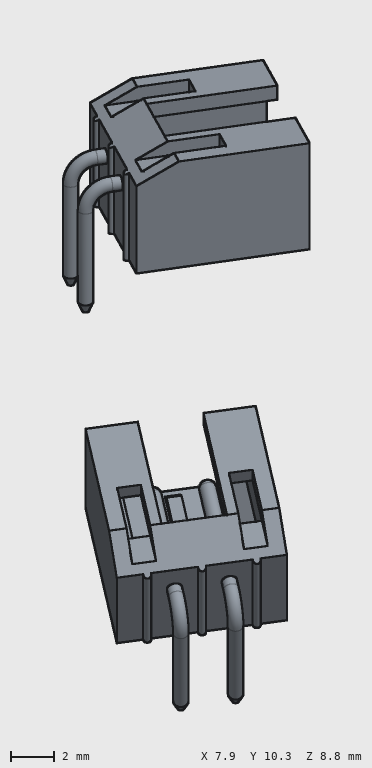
import cadquery as cq

overall_length = 10.25
width = 7.9
height = 5.61
pin_reach = 2.02
depth = overall_length - pin_reach
rear_bevel_length = 2.02
rear_bevel_drop = 0.98

roof = 0.75
side_wall = 0.62
floor_height = 0.62
cavity_start = rear_bevel_length
corner_slope_width = 1.1
corner_slope_height = 0.99
mouth_bevel = 0.16
slot_width = 3.04

window_width = 1.1
window_edge_gap = 0.81
window_end = 4.48

key_width = 0.7
key_height = 0.44
key_mouth_gap = 0.46

pitch = 2.54
rib_radius = 0.18
rib_projection = 0.22

contact_diameter = 0.8
contact_mouth_gap = 2.18
contact_rounding = 0.38
pin_diameter = 0.72
pin_height = 3.31
bend_radius = 1.19
overall_height = 8.8
pin_tip_length = 0.49
pin_tip_diameter = 0.31

ceiling = height - roof
cavity_half_width = width / 2 - side_wall
floor_half_width = cavity_half_width - corner_slope_width
window_x = width / 2 - window_edge_gap - window_width / 2
pin_drop_y = pin_diameter / 2 - pin_reach
bend_start_y = pin_drop_y + bend_radius
pin_bottom = height - overall_height
pin_tip_top = pin_bottom + pin_tip_length


def block(x_size, y_start, y_end, z_start, z_end, x_center=0):
    """Box centered on x_center, set by its Y and Z limits."""
    box = cq.Workplane("XY").box(x_size, y_end - y_start, z_end - z_start, centered=(True, False, False))
    return box.translate((x_center, y_start, z_start))


def side_profile(points, thickness):
    """Prism along X, centered on X = 0, from (Y, Z) points."""
    return cq.Workplane("YZ").polyline(points).close().extrude(thickness / 2, both=True)


def make_shell():
    """Solid housing with its standoff ribs, both cut by the sloping rear bevel."""
    shell = block(width, 0, depth, 0, height)
    rib_y = rib_radius - rib_projection
    for x in (-pitch, 0, pitch):
        rib = cq.Workplane("XY").center(x, rib_y).circle(rib_radius).extrude(height)
        rib_root = block(2 * rib_radius, rib_y, rib_radius, 0, height, x)
        shell = shell.union(rib).union(rib_root)

    bevel_slope = rear_bevel_drop / rear_bevel_length
    bevel = side_profile(
        [
            (rear_bevel_length, height),
            (-rib_projection, height - rear_bevel_drop - bevel_slope * rib_projection),
            (-rib_projection, height),
        ],
        width,
    )
    return shell.cut(bevel)


def make_cavity():
    """Cavity with sloping lower corners."""
    slope_top = floor_height + corner_slope_height
    outline = [
        (-floor_half_width, floor_height),
        (floor_half_width, floor_height),
        (cavity_half_width, slope_top),
        (cavity_half_width, ceiling),
        (-cavity_half_width, ceiling),
        (-cavity_half_width, slope_top),
    ]
    cavity = cq.Workplane("XZ").polyline(outline).close().extrude(cavity_start - depth)
    return cavity.translate((0, cavity_start, 0))


def make_mouth_bevel():
    """Wedge that eases the mouth edge of the cavity floor."""
    return side_profile(
        [
            (depth - mouth_bevel, floor_height),
            (depth, floor_height),
            (depth, floor_height - mouth_bevel),
        ],
        2 * floor_half_width,
    )


def make_key():
    """Rail along the cavity floor with a sloping lead-in."""
    key_end = depth - key_mouth_gap
    return side_profile(
        [
            (cavity_start, floor_height),
            (key_end, floor_height),
            (key_end - key_height, floor_height + key_height),
            (cavity_start, floor_height + key_height),
        ],
        key_width,
    )


def make_pin(x):
    """Round contact in the cavity, joined to a thinner tail bent down to a tapered tip."""
    contact_length = depth - contact_mouth_gap - cavity_start / 2
    contact = cq.Workplane("XZ").circle(contact_diameter / 2).extrude(-contact_length)
    contact = contact.faces(">Y").edges().fillet(contact_rounding)
    contact = contact.translate((0, cavity_start / 2, pin_height))

    path = (
        cq.Workplane("YZ")
        .moveTo(cavity_start, pin_height)
        .lineTo(bend_start_y, pin_height)
        .radiusArc((pin_drop_y, pin_height - bend_radius), -bend_radius)
        .lineTo(pin_drop_y, pin_tip_top)
    )
    tail_start = cq.Workplane("XZ", origin=(0, cavity_start, pin_height))
    tail = tail_start.circle(pin_diameter / 2).sweep(path)

    tip = (
        cq.Workplane("XY", origin=(0, pin_drop_y, pin_bottom))
        .circle(pin_tip_diameter / 2)
        .workplane(offset=pin_tip_length)
        .circle(pin_diameter / 2)
        .loft()
    )
    return contact.union(tail).union(tip).translate((x, 0, 0))


result = make_shell().cut(make_cavity()).cut(make_mouth_bevel())
result = result.cut(block(slot_width, cavity_start, depth, ceiling, height))
for side in (-1, 1):
    result = result.cut(block(window_width, 0, window_end, ceiling, height, side * window_x))
result = result.union(make_key())
for side in (-1, 1):
    result = result.union(make_pin(side * pitch / 2))